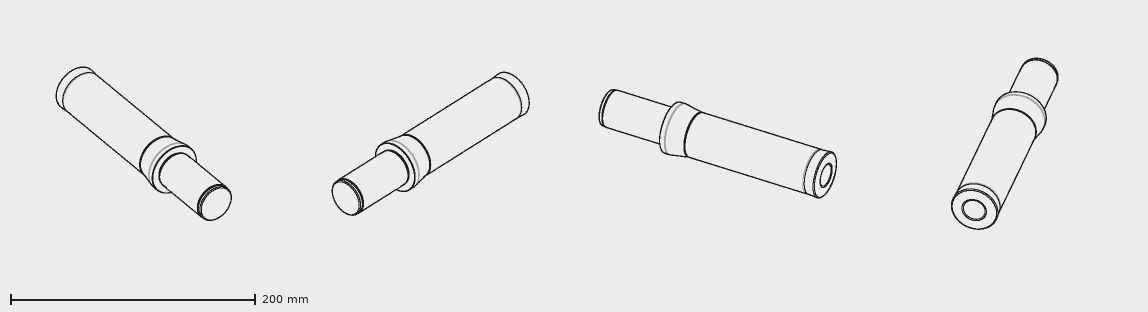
import cadquery as cq

LENGTH = 204.0
TIP = -LENGTH / 2
REAR = LENGTH / 2
HEAD_LENGTH = 10.0
COLLAR_REAR = TIP + 143.8

CENTRE_DIAMETER = 18.5
CENTRE_RIM_DIAMETER = 20.8
CENTRE_RIM_DEPTH = 0.5
HEAD_DIAMETER = 39.5
HEAD_FACE_DIAMETER = 37.7
HEAD_FACE_DEPTH = 0.6
HEAD_EDGE_DEPTH = 1.5

BODY_DIAMETER = 38.5
BODY_FRONT_DIAMETER = 38.4
BODY_LEAD_IN = 1.2
BODY_LENGTH = 111.4
RELIEF_DIAMETER = 38.1
RELIEF_LENGTH = 1.0

COLLAR_DIAMETER = 44.0
COLLAR_RIM_LENGTH = 4.7
COLLAR_BLEND_LENGTH = 0.8
COLLAR_BLEND_DIAMETER = 43.9
COLLAR_CHAMFER = 0.5

SHANK_DIAMETER = 32.0
SHANK_RELIEF_DIAMETER = 31.5
NECK_LENGTH = 1.2
SHANK_STEP_LENGTH = 0.6
TAIL_GROOVE_DIAMETER = 31.2
TAIL_GROOVE_LENGTH = 0.5
SHANK_TAIL_LENGTH = 3.0
SHANK_CHAMFER = 0.8


def revolve_profile(stations):
    """Turn (x, diameter) stations into a solid of revolution about the X axis."""
    outline = [(x, diameter / 2) for x, diameter in stations]
    axis_ends = [(stations[-1][0], 0), (stations[0][0], 0)]
    return cq.Workplane("XY").polyline(outline + axis_ends).close().revolve(360, (0, 0, 0), (1, 0, 0))


def make_cutting_head():
    """Slightly back-tapered head that forms the tip of the tool."""
    return revolve_profile([
        (TIP + CENTRE_RIM_DEPTH, CENTRE_DIAMETER),
        (TIP, CENTRE_RIM_DIAMETER),
        (TIP + HEAD_FACE_DEPTH, HEAD_FACE_DIAMETER),
        (TIP + HEAD_EDGE_DEPTH, HEAD_DIAMETER),
        (TIP + HEAD_LENGTH, BODY_FRONT_DIAMETER),
    ])


def make_tool_body():
    """Body, tapered collar and shank, turned in one piece."""
    body_front = TIP + HEAD_LENGTH
    body_rear = body_front + BODY_LENGTH
    collar_front = body_rear + RELIEF_LENGTH
    rim_front = COLLAR_REAR - COLLAR_RIM_LENGTH
    shank_front = COLLAR_REAR + NECK_LENGTH
    tail_front = REAR - SHANK_TAIL_LENGTH
    groove_front = tail_front - TAIL_GROOVE_LENGTH
    return revolve_profile([
        (body_front, BODY_FRONT_DIAMETER),
        (body_front + BODY_LEAD_IN, BODY_DIAMETER),
        (body_rear, BODY_DIAMETER),
        (body_rear, RELIEF_DIAMETER),
        (collar_front, RELIEF_DIAMETER),
        (collar_front, BODY_DIAMETER),
        (rim_front - COLLAR_BLEND_LENGTH, COLLAR_BLEND_DIAMETER),
        (rim_front, COLLAR_DIAMETER),
        (COLLAR_REAR - COLLAR_CHAMFER, COLLAR_DIAMETER),
        (COLLAR_REAR, COLLAR_DIAMETER - 2 * COLLAR_CHAMFER),
        (COLLAR_REAR, SHANK_RELIEF_DIAMETER),
        (shank_front, SHANK_RELIEF_DIAMETER),
        (shank_front + SHANK_STEP_LENGTH, SHANK_DIAMETER),
        (groove_front - SHANK_STEP_LENGTH, SHANK_DIAMETER),
        (groove_front, TAIL_GROOVE_DIAMETER),
        (tail_front, TAIL_GROOVE_DIAMETER),
        (tail_front, SHANK_RELIEF_DIAMETER),
        (REAR - SHANK_CHAMFER, SHANK_RELIEF_DIAMETER),
        (REAR, SHANK_RELIEF_DIAMETER - 2 * SHANK_CHAMFER),
    ])


cutting_head = make_cutting_head()
tool_body = make_tool_body()

result = cq.Compound.makeCompound([cutting_head.val(), tool_body.val()])